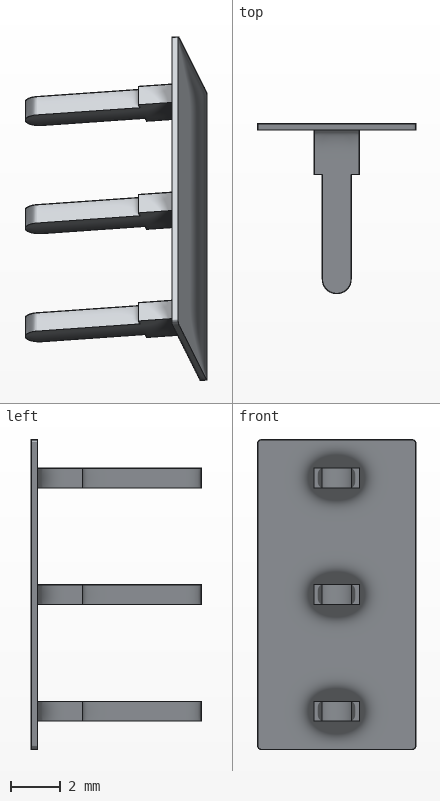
import cadquery as cq

plate_width = 6.38
plate_height = 12.5
plate_thickness = 0.26
plate_corner_radius = 0.15

pin_count = 3
pin_pitch = 4.7
pin_thickness = 0.8
pin_reach = 6.6
shoulder_width = 1.82
shoulder_length = 1.8
blade_width = 1.17


def make_plate():
    """Thin plate with its front face at Y = 0 and rounded corners."""
    return (
        cq.Workplane("XY")
        .box(plate_width, plate_thickness, plate_height)
        .translate((0, plate_thickness / 2, 0))
        .edges("|Y")
        .fillet(plate_corner_radius)
    )


def make_pin(center_z):
    """Stepped flat pin: wide shoulder, then a narrower blade with a full-round tip."""
    shoulder_half = shoulder_width / 2
    blade_half = blade_width / 2
    tip_start_y = blade_half - pin_reach
    return (
        cq.Workplane("XY", origin=(0, 0, center_z - pin_thickness / 2))
        .moveTo(-shoulder_half, 0)
        .lineTo(-shoulder_half, -shoulder_length)
        .lineTo(-blade_half, -shoulder_length)
        .lineTo(-blade_half, tip_start_y)
        .threePointArc((0, -pin_reach), (blade_half, tip_start_y))
        .lineTo(blade_half, -shoulder_length)
        .lineTo(shoulder_half, -shoulder_length)
        .lineTo(shoulder_half, 0)
        .close()
        .extrude(pin_thickness)
    )


result = make_plate()
for index in range(pin_count):
    pin_z = (index - (pin_count - 1) / 2) * pin_pitch
    result = result.union(make_pin(pin_z))